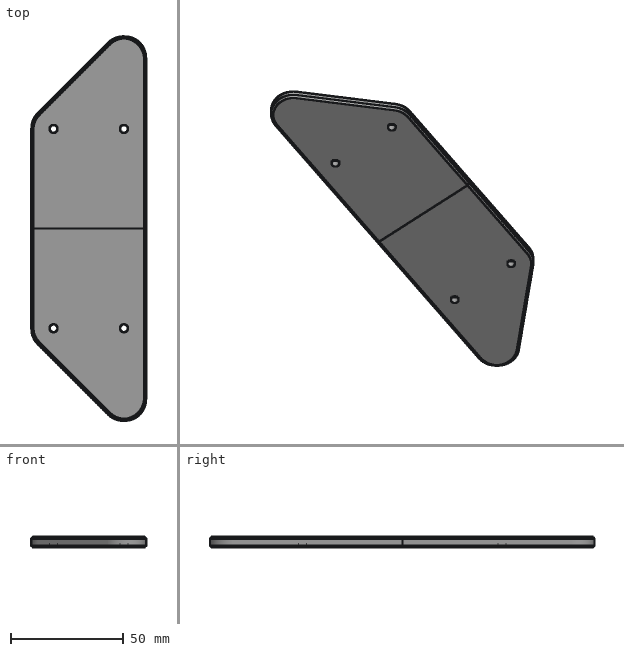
import cadquery as cq

length = 171.5
width = 51.3
thickness = 5.0
corner_radius = 10.0
edge_chamfer = 1.0
hole_diameter = 3.5

corner_x = width / 2 - corner_radius
long_corner_y = length / 2 - corner_radius
short_corner_y = long_corner_y - 2 * corner_x


def make_half(side):
    """Half of the trapezoidal plate: side is +1 for the +Y half, -1 for the -Y half."""
    plate = (
        cq.Workplane("XY")
        .polyline([
            (corner_x, -long_corner_y),
            (corner_x, long_corner_y),
            (-corner_x, short_corner_y),
            (-corner_x, -short_corner_y),
        ])
        .close()
        .offset2D(corner_radius)
        .extrude(thickness)
    )

    plate = plate.faces("<Z or >Z").edges().chamfer(edge_chamfer)

    half_space = (
        cq.Workplane("XY")
        .box(width, length / 2, thickness, centered=(True, True, False))
        .translate((0, side * length / 4, 0))
    )
    half = plate.intersect(half_space)

    holes = (
        cq.Workplane("XY")
        .pushPoints([(x, side * short_corner_y) for x in (-corner_x, corner_x)])
        .circle(hole_diameter / 2)
        .extrude(thickness)
    )
    return half.cut(holes)


plate_halves = [make_half(side) for side in (-1, 1)]

result = cq.Compound.makeCompound([half.solids().val() for half in plate_halves])